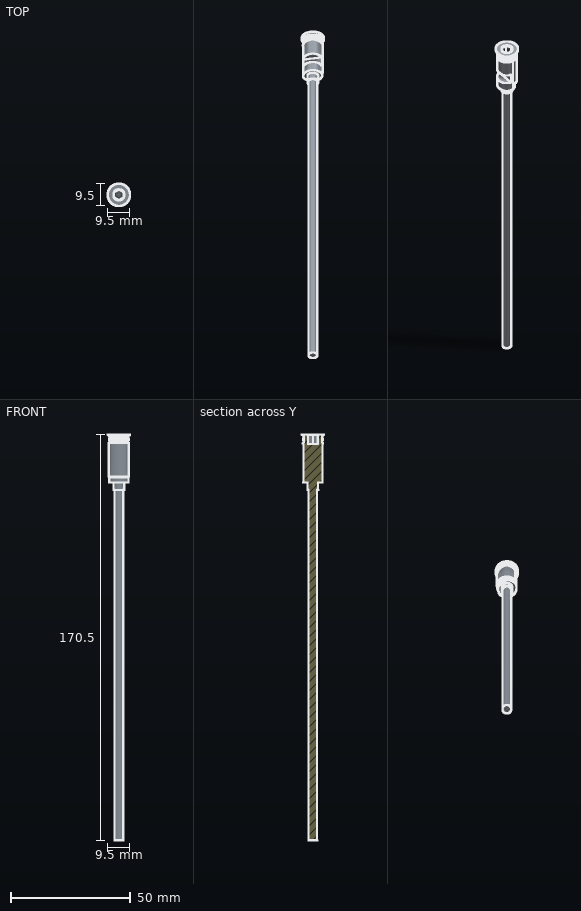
import cadquery as cq

total_length = 170.5

flange_radius = 4.75
head_radius = 4.25
groove_radius = 3.9
flange_rim_depth = 0.1
flange_cone_bottom = 0.8
ring_top = 1.65
ring_bottom = 2.25
body_top = 3.15
lip_cone_bottom = 3.6
body_lip_bottom = 3.8

front_bottom = 18.1
front_chamfer = 0.5
body_bottom = 20.25
rear_radius = 4.1
core_front_reach = 3.3

collar_radius = 2.35
collar_bottom = 23.3
shaft_radius = 1.9

slot_top = 11.4
slot_bottom = 15.85
slot_floor_y = 0.9

socket_across_corners = 4.6
socket_mouth_radius = 2.35
socket_mouth_depth = 0.35
socket_depth = 4.0

clearance = 2 * flange_radius


def cylinder(radius, top, bottom):
    """Upright cylinder between two depths."""
    return cq.Workplane("XY").workplane(offset=-bottom).circle(radius).extrude(bottom - top)


def rear_block(y_start, top, bottom):
    """Block wider than the part, filling everything beyond y_start between two depths."""
    return (
        cq.Workplane("XY")
        .box(2 * clearance, clearance, bottom - top, centered=(True, False, False))
        .translate((0, y_start, -bottom))
    )


def make_head():
    """Turned head: flange, ring and body lip separated by two grooves."""
    profile = [
        (0, 0),
        (flange_radius, 0),
        (flange_radius, -flange_rim_depth),
        (groove_radius, -flange_cone_bottom),
        (groove_radius, -ring_top),
        (head_radius, -ring_top),
        (head_radius, -ring_bottom),
        (groove_radius, -ring_bottom),
        (groove_radius, -body_top),
        (head_radius, -lip_cone_bottom),
        (head_radius, -body_lip_bottom),
        (0, -body_lip_bottom),
    ]
    return cq.Workplane("XZ").polyline(profile).close().revolve(360, (0, 0), (0, 1))


def make_front_shell():
    full = cylinder(head_radius, body_lip_bottom, front_bottom).faces("<Z").chamfer(front_chamfer)
    return full.cut(rear_block(0, body_lip_bottom, front_bottom))


def make_core():
    """Rear half-cylinder closed at the front by a flatter arc."""
    return (
        cq.Workplane("XY")
        .workplane(offset=-body_bottom)
        .moveTo(-rear_radius, 0)
        .threePointArc((0, rear_radius), (rear_radius, 0))
        .threePointArc((0, -core_front_reach), (-rear_radius, 0))
        .close()
        .extrude(body_bottom - body_lip_bottom)
    )


def make_socket():
    hexagon = (
        cq.Workplane("XY")
        .polygon(6, socket_across_corners)
        .extrude(-socket_depth)
        .rotate((0, 0, 0), (0, 0, 1), 90)
    )
    mouth_bottom_radius = socket_mouth_radius - socket_mouth_depth
    mouth = (
        cq.Workplane("XZ")
        .polyline([
            (0, 0),
            (socket_mouth_radius, 0),
            (mouth_bottom_radius, -socket_mouth_depth),
            (0, -socket_mouth_depth),
        ])
        .close()
        .revolve(360, (0, 0), (0, 1))
    )
    return hexagon.union(mouth)


result = (
    make_head()
    .union(make_front_shell())
    .union(make_core())
    .union(cylinder(collar_radius, body_bottom, collar_bottom))
    .union(cylinder(shaft_radius, collar_bottom, total_length))
    .cut(rear_block(slot_floor_y, slot_top, slot_bottom))
    .cut(make_socket())
)